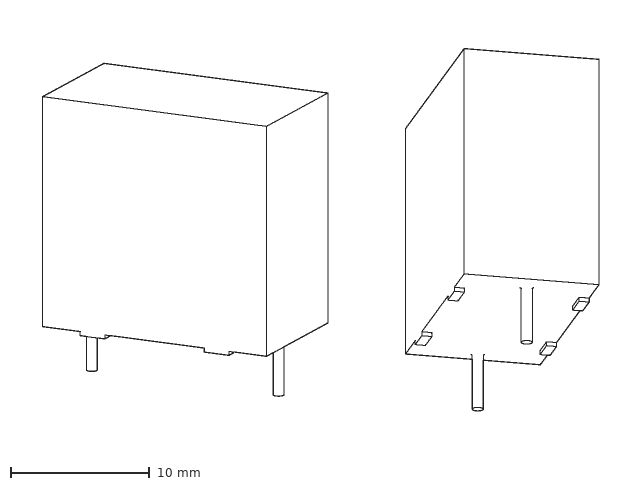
import cadquery as cq

case_length = 18.0
case_width = 10.0
overall_height = 21.5

lead_diameter = 0.8
lead_spacing = 15.0
lead_length = 4.3

foot_height = 0.3
foot_length = 2.0
foot_width = 0.75
foot_end_offset = 3.0

case_height = overall_height - lead_length
lead_radius = lead_diameter / 2
flare_radius = foot_height
foot_x = case_length / 2 - foot_end_offset - foot_length / 2
foot_y = (case_width - foot_width) / 2


def make_case():
    """Plain box with its underside at Z = 0."""
    return cq.Workplane("XY").box(case_length, case_width, case_height, centered=(True, True, False))


def make_foot(x, y):
    """Small rectangular standoff below the case."""
    return (
        cq.Workplane("XY")
        .center(x, y)
        .rect(foot_length, foot_width)
        .extrude(-foot_height)
    )


def make_lead(x):
    """Round lead with a concave flare where it meets the case."""
    flare_middle = flare_radius * (1 - 0.5**0.5)
    return (
        cq.Workplane("XZ")
        .moveTo(0, 0)
        .lineTo(lead_radius + flare_radius, 0)
        .threePointArc((lead_radius + flare_middle, -flare_middle), (lead_radius, -flare_radius))
        .lineTo(lead_radius, -lead_length)
        .lineTo(0, -lead_length)
        .close()
        .revolve(360, (0, 0, 0), (0, 1, 0))
        .translate((x, 0, 0))
    )


result = make_case()
for x_side in (-1, 1):
    result = result.union(make_lead(x_side * lead_spacing / 2))
    for y_side in (-1, 1):
        result = result.union(make_foot(x_side * foot_x, y_side * foot_y))